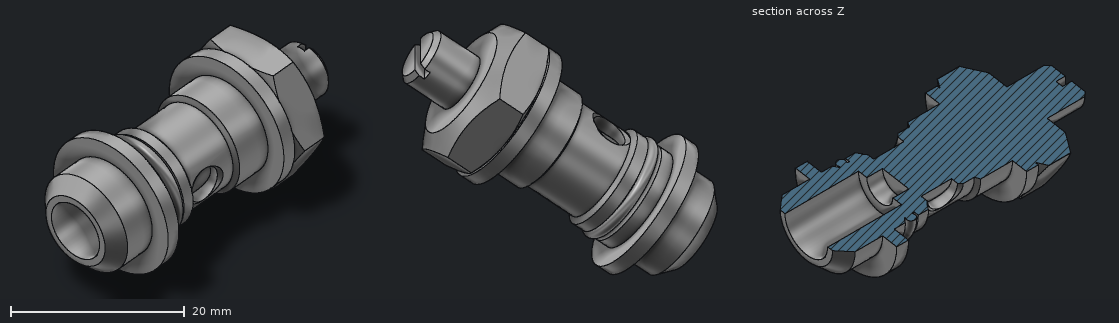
import cadquery as cq
import math

length = 39.85
body_radius = 6.45
end_chamfer = 1.85
collar_radius = 17.9 / 2
collar_thickness = 1.85
lower_collar_y = 6.0
upper_collar_y = 25.75

neck_radius = 5.75
neck_start = 13.47
neck_end = 20.55
shoulder_lower_run = 0.48
shoulder_upper_run = 0.35

ring_y = 10.6
ring_section_radius = 0.68
ring_outer_radius = 6.8
groove_start = 9.5
groove_end = 11.45
groove_depth = 0.7
groove_slope_run = 0.48

hex_across_corners = 19.6
hex_start = upper_collar_y + collar_thickness
hex_end = 33.55
hex_top_radius = 6.78
hex_top_drop = 1.85
hex_bottom_drop = 0.75

stem_radius = 3.6
stem_chamfer = 0.65
slot_width = 1.08
slot_depth = 1.4

bore_radius = 3.75
bore_depth = 11.15
orifice_radius = 2.27
orifice_end = 13.55
core_radius = 4.23
cross_hole_radius = orifice_radius
cross_hole_y = 16.15


def revolve_about_y(points):
    """Revolve a closed (radius, Y) outline around the Y axis."""
    return cq.Workplane("XY").polyline(points).close().revolve(360, (0, 0, 0), (0, 1, 0))


def cylinder(radius, start, end):
    return revolve_about_y([(0, start), (radius, start), (radius, end), (0, end)])


def make_shank():
    groove_radius = body_radius - groove_depth
    return revolve_about_y([
        (0, 0),
        (body_radius - end_chamfer, 0),
        (body_radius, end_chamfer),
        (body_radius, groove_start),
        (groove_radius, groove_start + groove_slope_run),
        (groove_radius, groove_end),
        (body_radius, groove_end),
        (body_radius, neck_start - shoulder_lower_run),
        (neck_radius, neck_start),
        (neck_radius, neck_end),
        (body_radius, neck_end + shoulder_upper_run),
        (body_radius, hex_start),
        (0, hex_start),
    ])


def make_collar(start):
    return cylinder(collar_radius, start, start + collar_thickness)


def make_ring():
    centre_radius = ring_outer_radius - ring_section_radius
    section = cq.Workplane("XY").center(centre_radius, ring_y).circle(ring_section_radius)
    return section.revolve(360, (-centre_radius, 0, 0), (-centre_radius, 1, 0))


def make_hexagon():
    """Hexagonal prism with both ends turned to a cone."""
    corner_radius = hex_across_corners / 2
    flat_radius = corner_radius * math.cos(math.pi / 6)
    prism = (
        cq.Workplane("XZ", origin=(0, hex_start, 0))
        .polygon(6, hex_across_corners)
        .extrude(hex_start - hex_end)
    )
    envelope = revolve_about_y([
        (0, hex_start),
        (flat_radius, hex_start),
        (corner_radius, hex_start + hex_bottom_drop),
        (corner_radius, hex_end - hex_top_drop),
        (hex_top_radius, hex_end),
        (0, hex_end),
    ])
    return prism.intersect(envelope)


def make_stem():
    stem = revolve_about_y([
        (0, hex_end),
        (stem_radius, hex_end),
        (stem_radius, length - stem_chamfer),
        (stem_radius - stem_chamfer, length),
        (0, length),
    ])
    slot = (
        cq.Workplane("XY")
        .box(slot_width, 2 * slot_depth, 2 * stem_radius)
        .translate((0, length, 0))
    )
    return stem.cut(slot)


def make_cross_holes():
    """Opposed holes along X, each with a 45 degree countersink, around a solid core."""
    sink_start = math.sqrt(neck_radius**2 - cross_hole_radius**2)
    sink_run = neck_radius - sink_start
    half_outline = [
        (0, cross_hole_y),
        (0, cross_hole_y + cross_hole_radius),
        (sink_start, cross_hole_y + cross_hole_radius),
        (neck_radius, cross_hole_y + cross_hole_radius + sink_run),
        (neck_radius, cross_hole_y),
    ]
    half = (
        cq.Workplane("XY")
        .polyline(half_outline)
        .close()
        .revolve(360, (0, cross_hole_y, 0), (1, cross_hole_y, 0))
    )
    core = cylinder(core_radius, bore_depth, hex_start)
    return half.union(half.mirror("YZ")).cut(core)


body = make_shank().union(make_hexagon()).union(make_stem())
for collar_start in (lower_collar_y, upper_collar_y):
    body = body.union(make_collar(collar_start))
body = body.union(make_ring())
body = body.cut(cylinder(bore_radius, 0, bore_depth))
body = body.cut(cylinder(orifice_radius, bore_depth, orifice_end))
result = body.cut(make_cross_holes())